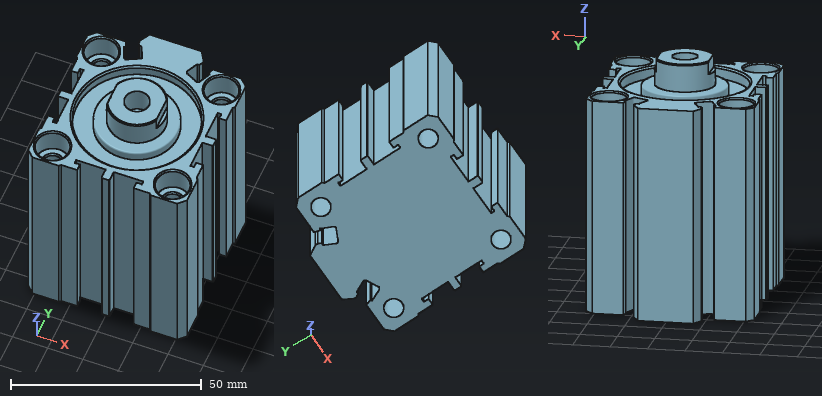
import cadquery as cq
import math

BODY_WIDTH = 45.0
BODY_HEIGHT = 58.0
HALF_WIDTH = BODY_WIDTH / 2
CORNER_CHAMFER = 2.0

RELIEF_HALF_WIDTH = 13.0
RELIEF_DEPTH = 0.5
SLOT_HALF_OPENING = 8.0
SLOT_HALF_UNDERCUT = 9.5
LIP_THICKNESS = 2.0
UNDERCUT_HEIGHT = 1.0
LIP_DEPTH = RELIEF_DEPTH + LIP_THICKNESS
SLOT_DEPTH = LIP_DEPTH + UNDERCUT_HEIGHT
RIB_HALF_WIDTH = 1.15
RIB_CHAMFER = 0.2
TRACK_ANGLES = (90, 180, 270)

RAIL_HEIGHT = 4.5
RAIL_HALF_TOP = 7.4
RAIL_HALF_WIDTH = 9.05
RAIL_FLANK_ANGLE = 30.0
RAIL_FOOT_BEVEL_WIDTH = 0.55
RAIL_FOOT_BEVEL_HEIGHT = 0.9

SLOT_OUTER_MOUTH = (12.2, HALF_WIDTH)
SLOT_NUB_TIP = (11.75, 20.85)
SLOT_NUB_ROOT = (12.15, 20.65)
SLOT_OUTER_FLOOR = (10.4, 16.75)
SLOT_INNER_FLOOR = (6.1, 18.9)
SLOT_INNER_MOUTH = (7.9, HALF_WIDTH)
SLOT_FLOOR_RADIUS = 0.6

MOUNT_SPACING = 34.0
MOUNT_HOLE_DIA = 5.2
MOUNT_HOLE_CHAMFER = 0.4
COUNTERBORE_DIA = 9.2
COUNTERBORE_DEPTH = 7.0
COUNTERBORE_CHAMFER = 0.4

RECESS_DIA = 34.0
RECESS_DEPTH = 3.2
RECESS_CHAMFER = 0.5
COLLAR_DIA = 23.0
COLLAR_HEIGHT = 2.7
COLLAR_FILLET = 0.5

ROD_DIA = 16.0
ROD_PROTRUSION = 7.0
ROD_CHAMFER = 0.3
ROD_ACROSS_FLATS = 14.0
ROD_FLAT_LENGTH = 3.5
ROD_HOLE_DIA = 6.8

RECESS_FLOOR_Z = BODY_HEIGHT - RECESS_DEPTH
COLLAR_TOP_Z = RECESS_FLOOR_Z + COLLAR_HEIGHT
ROD_TOP_Z = BODY_HEIGHT + ROD_PROTRUSION


def cylinder(diameter, z_bottom, z_top):
    """Solid cylinder on the Z axis between two heights."""
    plane = cq.Workplane("XY").workplane(offset=z_bottom)
    return plane.circle(diameter / 2).extrude(z_top - z_bottom)


def revolved(profile):
    """Solid swept by a closed (radius, z) outline around the Z axis."""
    return cq.Workplane("XZ").polyline(profile).close().revolve(360, (0, 0), (0, 1))


def track_cutter():
    """T-slot with a shallow relief and a middle rib left standing, cut into the +Y face."""
    face = HALF_WIDTH
    half = [
        (RELIEF_HALF_WIDTH, face),
        (RELIEF_HALF_WIDTH - RELIEF_DEPTH, face - RELIEF_DEPTH),
        (SLOT_HALF_OPENING, face - RELIEF_DEPTH),
        (SLOT_HALF_OPENING, face - LIP_DEPTH),
        (SLOT_HALF_UNDERCUT, face - LIP_DEPTH),
        (SLOT_HALF_UNDERCUT, face - SLOT_DEPTH),
        (RIB_HALF_WIDTH, face - SLOT_DEPTH),
        (RIB_HALF_WIDTH, face - RELIEF_DEPTH - RIB_CHAMFER),
        (RIB_HALF_WIDTH - RIB_CHAMFER, face - RELIEF_DEPTH),
    ]
    other_half = [(-x, y) for x, y in reversed(half)]
    return cq.Workplane("XY").polyline(half + other_half).close().extrude(BODY_HEIGHT)


def rail_slot_cutter():
    """Slanted slot beside the rail on the +X side, with a nub on its outer wall."""
    corners = [
        SLOT_OUTER_MOUTH,
        SLOT_NUB_TIP,
        SLOT_NUB_ROOT,
        SLOT_OUTER_FLOOR,
        SLOT_INNER_FLOOR,
        SLOT_INNER_MOUTH,
    ]
    slot = cq.Workplane("XY").polyline(corners).close().extrude(BODY_HEIGHT)
    for x, y in (SLOT_OUTER_FLOOR, SLOT_INNER_FLOOR):
        floor_edge = cq.selectors.NearestToPointSelector((x, y, BODY_HEIGHT / 2))
        slot = slot.edges(floor_edge).fillet(SLOT_FLOOR_RADIUS)
    return slot


def rail_head():
    """Head of the rail above the +Y face, with sloped flanks and bevelled lower edges."""
    base = HALF_WIDTH
    top = base + RAIL_HEIGHT
    flank_drop = (RAIL_HALF_WIDTH - RAIL_HALF_TOP) / math.tan(math.radians(RAIL_FLANK_ANGLE))
    flank_end = top - flank_drop
    foot_x = RAIL_HALF_WIDTH - RAIL_FOOT_BEVEL_WIDTH
    foot_y = base + RAIL_FOOT_BEVEL_HEIGHT
    return (
        cq.Workplane("XY")
        .moveTo(-RAIL_HALF_TOP, top)
        .lineTo(RAIL_HALF_TOP, top)
        .lineTo(RAIL_HALF_WIDTH, flank_end)
        .lineTo(RAIL_HALF_WIDTH, foot_y)
        .lineTo(foot_x, base)
        .lineTo(-foot_x, base)
        .lineTo(-RAIL_HALF_WIDTH, foot_y)
        .lineTo(-RAIL_HALF_WIDTH, flank_end)
        .close()
        .extrude(BODY_HEIGHT)
    )


def mount_hole_cutter():
    """Through hole with a counterbore, both chamfered at their upper rims."""
    hole_radius = MOUNT_HOLE_DIA / 2
    bore_radius = COUNTERBORE_DIA / 2
    floor_z = BODY_HEIGHT - COUNTERBORE_DEPTH
    profile = [
        (0, 0),
        (hole_radius, 0),
        (hole_radius, floor_z - MOUNT_HOLE_CHAMFER),
        (hole_radius + MOUNT_HOLE_CHAMFER, floor_z),
        (bore_radius, floor_z),
        (bore_radius, BODY_HEIGHT - COUNTERBORE_CHAMFER),
        (bore_radius + COUNTERBORE_CHAMFER, BODY_HEIGHT),
        (0, BODY_HEIGHT),
    ]
    return revolved(profile)


def recess_cutter():
    """Ring-shaped void of the bore recess, leaving the rounded collar standing on its floor."""
    recess_radius = RECESS_DIA / 2
    recess_profile = [
        (0, RECESS_FLOOR_Z),
        (recess_radius, RECESS_FLOOR_Z),
        (recess_radius, BODY_HEIGHT - RECESS_CHAMFER),
        (recess_radius + RECESS_CHAMFER, BODY_HEIGHT),
        (0, BODY_HEIGHT),
    ]
    collar = cylinder(COLLAR_DIA, RECESS_FLOOR_Z, COLLAR_TOP_Z).faces(">Z").edges().fillet(COLLAR_FILLET)
    return revolved(recess_profile).cut(collar)


def make_housing():
    block = cq.Workplane("XY").rect(BODY_WIDTH, BODY_WIDTH).extrude(BODY_HEIGHT)
    block = block.edges("|Z").chamfer(CORNER_CHAMFER)

    track = track_cutter()
    for angle in TRACK_ANGLES:
        block = block.cut(track.rotate((0, 0, 0), (0, 0, 1), angle))

    rail_slot = rail_slot_cutter()
    block = block.cut(rail_slot).cut(rail_slot.mirror("YZ"))
    block = block.union(rail_head())

    mount_hole = mount_hole_cutter()
    for x_side in (-1, 1):
        for y_side in (-1, 1):
            center = (x_side * MOUNT_SPACING / 2, y_side * MOUNT_SPACING / 2, 0)
            block = block.cut(mount_hole.translate(center))

    return block.cut(recess_cutter())


def make_rod():
    """Rod end standing on the collar, with two wrench flats and an axial hole."""
    rod = cylinder(ROD_DIA, COLLAR_TOP_Z, ROD_TOP_Z).faces(">Z").chamfer(ROD_CHAMFER)
    flats = (
        cq.Workplane("XY")
        .workplane(offset=ROD_TOP_Z - ROD_FLAT_LENGTH)
        .rect(2 * ROD_DIA, 2 * ROD_DIA)
        .rect(ROD_ACROSS_FLATS, 2 * ROD_DIA)
        .extrude(ROD_FLAT_LENGTH)
    )
    hole = cylinder(ROD_HOLE_DIA, COLLAR_TOP_Z, ROD_TOP_Z)
    return rod.cut(flats).cut(hole)


housing = make_housing()
rod = make_rod()
result = cq.Compound.makeCompound([housing.val(), rod.val()])